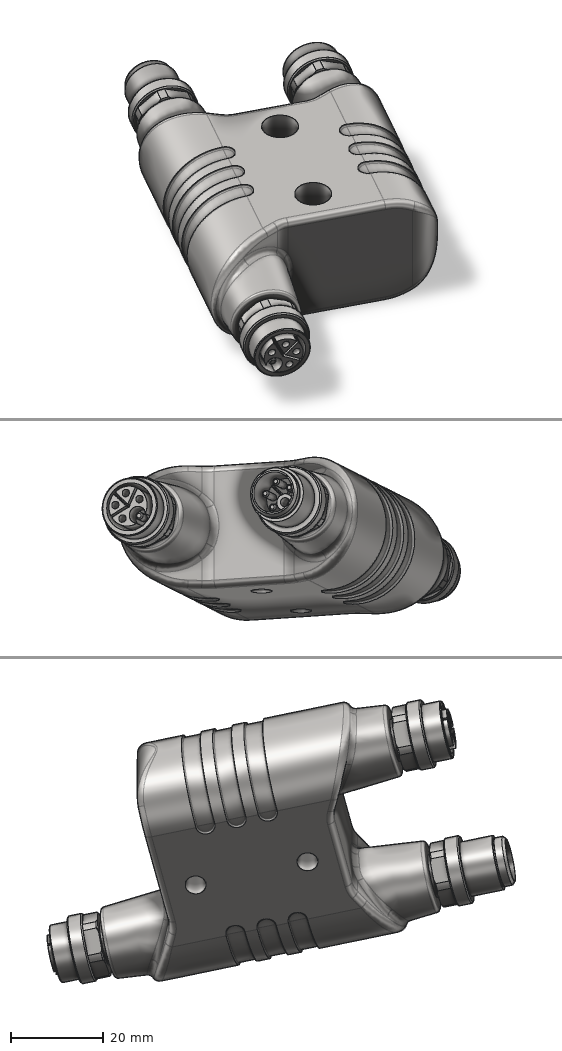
import cadquery as cq
import math

body_depth = 54.9
body_height = 27.0
waist_half_width = 20.4
rim_radius = 1.5
end_radius = body_height / 2
end_axis_y = body_depth / 2 - end_radius
shoulder_y = 9.4
shoulder_angle = 26.8
shoulder_blend = 5.7
plain_corner_radius = 7.6
plain_corner_start_y = 20.1

hole_offset = 12.5
hole_diameter = 4.5
counterbore_diameter = 8.0
counterbore_depth = 13.3
hole_mouth_chamfer = 0.6

groove_width = 4.2
groove_pitch = 6.9
groove_depth = 0.5
groove_floor_radius = 0.26

connector_y = 17.6
boot_root = 20.4
boot_tip = 36.1
boot_tip_diameter = 15.7
boot_taper = 5.0
boot_edge_radius = 0.8
boot_blend_radius = 1.5
connector_sides = [(-1, 1), (-1, -1), (1, -1)]
pin_plug_side = (-1, -1)
neck_diameter = 9.4
hex_sides = 6
hex_start = 37.0
hex_diameter = 14.2
hex_across_flats = 13.1
hex_turn = -21.3
nut_chamfer = 0.3
collar_start = 40.2
collar_end = 43.6
collar_diameter = 15.0

sleeve_diameter = 12.8
sleeve_chamfer = 0.2
sleeve_end = 47.8
sleeve_mouth_diameter = 10.5
insert_diameter = 8.8
insert_end = 48.7
sleeve_recess_depth = 4.1

shell_diameter = 12.0
shell_end = 50.7
tip_diameter = 10.8
tip_end = 53.4
tip_groove_diameter = 10.5
tip_groove_start = 51.0
tip_chamfer = 0.6
bore_diameter = 8.9
bore_depth = 8.2

contact_count = 5
contact_circle_radius = 3.0
contact_start_angle = 100.0
earth_index = 2
socket_diameter = 1.6
pin_diameter = 1.5
pin_length = 5.1
pin_chamfer = 0.3
contact_depth = 4.1
earth_pin_setback = 1.0
earth_key_diameter = 3.7
earth_key_length = 6.6
earth_socket_diameter = 1.9
slot_indices = [0, 3, 4]
slot_width = 0.5
slot_depth = 2.0


def stadium_bar(inset):
    """Bar along X whose section has half-round ends at +Y and -Y."""
    return (
        cq.Workplane("YZ")
        .slot2D(body_depth - 2 * inset, body_height - 2 * inset)
        .extrude(body_depth, both=True)
    )


def housing():
    """Body with three splayed shoulders and one plain rounded corner."""
    half_depth = body_depth / 2
    splay = (half_depth - shoulder_y) * math.tan(math.radians(shoulder_angle))
    wide = waist_half_width + splay
    arc_rise = half_depth - plain_corner_start_y
    arc_center_x = waist_half_width - plain_corner_radius
    arc_end_x = arc_center_x + math.sqrt(plain_corner_radius**2 - arc_rise**2)
    half_sweep = math.asin(arc_rise / plain_corner_radius) / 2
    arc_middle = (
        arc_center_x + plain_corner_radius * math.cos(half_sweep),
        plain_corner_start_y + plain_corner_radius * math.sin(half_sweep),
    )
    plan = (
        cq.Workplane("XY")
        .moveTo(-wide, -half_depth)
        .lineTo(wide, -half_depth)
        .lineTo(waist_half_width, -shoulder_y)
        .lineTo(waist_half_width, plain_corner_start_y)
        .threePointArc(arc_middle, (arc_end_x, half_depth))
        .lineTo(-wide, half_depth)
        .lineTo(-waist_half_width, shoulder_y)
        .lineTo(-waist_half_width, -shoulder_y)
        .close()
        .extrude(body_height / 2, both=True)
    )
    for x_side, y_side in connector_sides:
        corner = (x_side * waist_half_width, y_side * shoulder_y, 0)
        blend_edge = cq.selectors.NearestToPointSelector(corner)
        plan = plan.edges("|Z").edges(blend_edge).fillet(shoulder_blend)
    return plan.intersect(stadium_bar(0))


def groove_cutter(x, side):
    """Band wrapped round one half-round side, ending in semicircles on the flats."""
    inner_end = end_axis_y - groove_width / 2
    outer_end = body_depth / 2 + groove_width
    plan = (
        cq.Workplane("XY")
        .center(x, side * (inner_end + outer_end) / 2)
        .slot2D(outer_end - inner_end, groove_width, 90)
        .extrude(body_height, both=True)
    )
    band = plan.cut(stadium_bar(groove_depth))
    floor_edges = cq.selectors.BoxSelector(
        (x - groove_width, -body_depth, -body_height / 2), (x + groove_width, body_depth, body_height / 2)
    )
    return band.edges(floor_edges).edges("not |X").fillet(groove_floor_radius)


def revolved(points):
    """Solid of revolution about X from (station, radius) points."""
    first_station = points[0][0]
    last_station = points[-1][0]
    return (
        cq.Workplane("XY")
        .polyline([(first_station, 0), *points, (last_station, 0)])
        .close()
        .revolve(360, (0, 0, 0), (1, 0, 0))
    )


def rod(start, end, diameter):
    """Cylinder on the X axis between two stations."""
    return cq.Workplane("YZ", origin=(start, 0, 0)).circle(diameter / 2).extrude(end - start)


def boot():
    """Tapered strain relief, wider toward the housing."""
    tip_radius = boot_tip_diameter / 2
    root_radius = tip_radius + (boot_tip - boot_root) * math.tan(math.radians(boot_taper))
    cone = revolved([(boot_root, root_radius), (boot_tip, tip_radius)])
    return cone.faces(">X").edges().fillet(boot_edge_radius)


def coupling_nut():
    """Neck, hexagon with rounded corners, and round collar."""
    neck = rod(boot_root, hex_start, neck_diameter)
    round_bar = rod(hex_start, collar_start, hex_diameter).faces("<X").edges().chamfer(nut_chamfer)
    corner_diameter = hex_across_flats / math.cos(math.pi / hex_sides)
    flats = (
        cq.Workplane("YZ", origin=(hex_start, 0, 0))
        .polygon(hex_sides, corner_diameter)
        .extrude(collar_start - hex_start)
        .rotate((0, 0, 0), (1, 0, 0), hex_turn)
    )
    collar = rod(collar_start, collar_end, collar_diameter).edges().chamfer(nut_chamfer)
    return neck.union(round_bar.intersect(flats)).union(collar)


def contact_place(index):
    """(y, z) of one contact on the contact circle."""
    angle = math.radians(contact_start_angle - index * 360 / contact_count)
    return (-contact_circle_radius * math.cos(angle), contact_circle_radius * math.sin(angle))


def insert_slots(face, depth):
    """Radial slots sunk into an insert face, midway between the plain contacts."""
    slots = cq.Workplane("YZ")
    reach = bore_diameter / 2
    for index in slot_indices:
        angle = contact_start_angle - (index + 0.5) * 360 / contact_count
        slot = (
            cq.Workplane("YZ", origin=(face - depth, 0, 0))
            .center(-reach / 2, 0)
            .rect(reach, slot_width)
            .extrude(depth)
            .rotate((0, 0, 0), (1, 0, 0), -angle)
        )
        slots = slots.add(slot)
    return slots.combine()


def socket_plug():
    """Connector with a protruding insert that has four sockets and one earth pin."""
    sleeve = rod(collar_end, sleeve_end, sleeve_diameter).faces(">X").edges().chamfer(sleeve_chamfer)
    recess_floor = sleeve_end - sleeve_recess_depth
    recess = revolved([(recess_floor, insert_diameter / 2), (sleeve_end, sleeve_mouth_diameter / 2)])
    plug = coupling_nut().union(sleeve).cut(recess).union(rod(recess_floor, insert_end, insert_diameter))
    plug = plug.cut(insert_slots(insert_end, slot_depth))
    pocket_floor = insert_end - contact_depth
    for index in range(contact_count):
        place = (0, *contact_place(index))
        if index == earth_index:
            pocket = rod(pocket_floor, insert_end, earth_key_diameter)
            pin = rod(pocket_floor, insert_end - earth_pin_setback, socket_diameter)
            pin = pin.faces(">X").edges().chamfer(pin_chamfer)
            plug = plug.cut(pocket.translate(place)).union(pin.translate(place))
        else:
            plug = plug.cut(rod(pocket_floor, insert_end, socket_diameter).translate(place))
    return plug


def pin_plug():
    """Connector with an open bore that holds four pins and one keyed earth socket."""
    shell = revolved([
        (collar_end, shell_diameter / 2),
        (shell_end, shell_diameter / 2),
        (shell_end, tip_groove_diameter / 2),
        (tip_groove_start, tip_groove_diameter / 2),
        (tip_groove_start, tip_diameter / 2),
        (tip_end - tip_chamfer, tip_diameter / 2),
        (tip_end, tip_diameter / 2 - tip_chamfer),
    ])
    floor = tip_end - bore_depth
    plug = coupling_nut().union(shell).cut(rod(floor, tip_end, bore_diameter))
    plug = plug.cut(insert_slots(floor, slot_depth))
    for index in range(contact_count):
        place = (0, *contact_place(index))
        if index == earth_index:
            key_end = floor + earth_key_length
            key = rod(floor, key_end, earth_key_diameter).translate(place)
            key = key.intersect(rod(floor, key_end, bore_diameter))
            socket = rod(key_end - contact_depth, key_end, earth_socket_diameter).translate(place)
            plug = plug.union(key).cut(socket)
        else:
            pin = rod(floor, floor + pin_length, pin_diameter).faces(">X").edges().chamfer(pin_chamfer)
            plug = plug.union(pin.translate(place))
    return plug


def placed(connector, x_side, y_side):
    """Connector moved onto its axis, mirrored when it points toward -X."""
    if x_side < 0:
        connector = connector.mirror("YZ")
    return connector.translate((0, y_side * connector_y, 0))


result = housing()
result = result.edges("not(|X or |Z)").fillet(rim_radius)

for x_side, y_side in connector_sides:
    result = result.union(placed(boot(), x_side, y_side))
result = result.faces("%CONE").edges("%ELLIPSE or %BSPLINE").fillet(boot_blend_radius)

for y_side in (-1, 1):
    for step in (-1, 0, 1):
        result = result.cut(groove_cutter(step * groove_pitch, y_side))

result = (
    result.faces(">Z")
    .workplane(origin=(0, 0, 0))
    .pushPoints([(-hole_offset, 0), (hole_offset, 0)])
    .cboreHole(hole_diameter, counterbore_diameter, counterbore_depth)
)
step_z = body_height / 2 - counterbore_depth
for x in (-hole_offset, hole_offset):
    hole_mouth = cq.selectors.BoxSelector(
        (x - hole_diameter, -hole_diameter, step_z - hole_mouth_chamfer),
        (x + hole_diameter, hole_diameter, step_z + hole_mouth_chamfer),
    )
    result = result.edges(hole_mouth).edges(cq.selectors.RadiusNthSelector(0)).chamfer(hole_mouth_chamfer)

for x_side, y_side in connector_sides:
    is_pin_plug = (x_side, y_side) == pin_plug_side
    connector = pin_plug() if is_pin_plug else socket_plug()
    result = result.union(placed(connector, x_side, y_side))